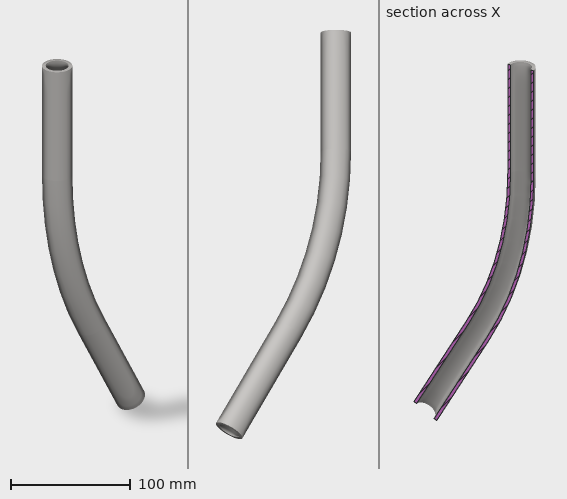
import cadquery as cq
import math

overall_height = 348.5
outer_diameter = 25.5
inner_diameter = 19.0
leg_length = 101.0
bend_angle = math.radians(30)

outer_radius = outer_diameter / 2
bend_height = (
    overall_height
    - leg_length * (1 + math.cos(bend_angle))
    - outer_radius * math.sin(bend_angle)
)
bend_radius = bend_height / math.sin(bend_angle)


def bend_point(angle):
    """Return the (Y, Z) centreline point at an angle from the start of the bend."""
    return (
        bend_radius * (1 - math.cos(angle)),
        -leg_length - bend_radius * math.sin(angle),
    )


bend_end_y, bend_end_z = bend_point(bend_angle)
lower_end = (
    bend_end_y + leg_length * math.sin(bend_angle),
    bend_end_z - leg_length * math.cos(bend_angle),
)
centreline = (
    cq.Workplane("YZ")
    .lineTo(0, -leg_length)
    .threePointArc(bend_point(bend_angle / 2), bend_point(bend_angle))
    .lineTo(*lower_end)
)

result = (
    cq.Workplane("XY")
    .circle(outer_radius)
    .circle(inner_diameter / 2)
    .sweep(centreline)
)